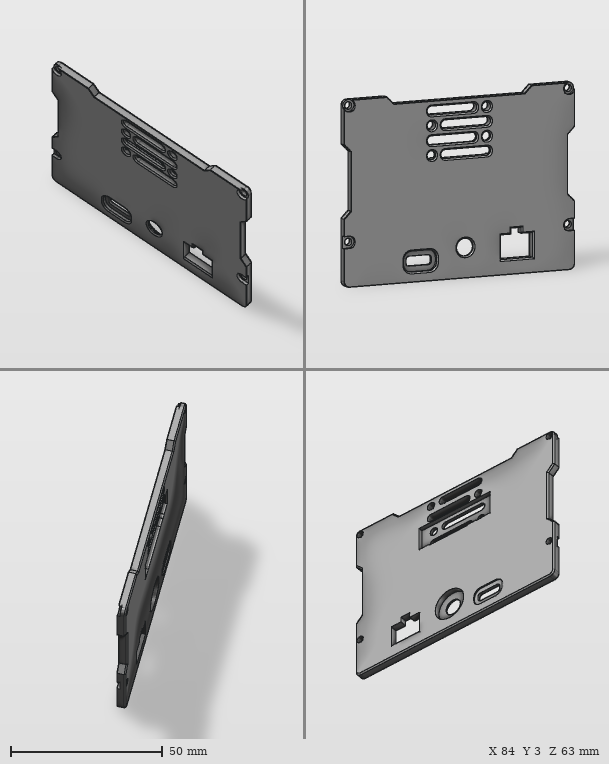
import cadquery as cq
LENGTH = 84.0
THICKNESS = 3.0
HEIGHT = 63.0
FRONT_Y = -THICKNESS / 2
BACK_Y = THICKNESS / 2
CORNER_RADIUS = 2.0
FRONT_EDGE_CHAMFER = 0.2
BACK_EDGE_CHAMFER = 0.5
OPENING_CHAMFER = 0.5

NOTCH_DEPTH = 2.5
TOP_NOTCH_FLOOR = 47.55
SIDE_NOTCH_FLOOR = 20.0
SIDE_NOTCH_Z = 4.0

SCREW_DIAMETER = 2.5
SCREW_SEAT_DIAMETER = 4.1
SCREW_SEAT_DEPTH = 1.1
SCREW_INSET = 2.0
LOWER_SCREW_Z = -16.4

VENT_WIDTH = 3.0
VENT_ROWS = 4
VENT_TOP_Z = 25.6
VENT_END_X = 10.0
VENT_PITCH = VENT_END_X / 2
VENT_INNER_X = VENT_PITCH

VENT_POCKET_SIZE = (30.1, 9.2)
VENT_POCKET_Z = 14.0
VENT_POCKET_DEPTH = THICKNESS / 2

OBLONG_X = -14.1
OBLONG_Z = -24.6
OBLONG_SIZE = (9.15, 3.4)
OBLONG_RADIUS = 1.1
RECESS_SIZE = (12.0, 7.05)
RECESS_RADIUS = 2.85
RECESS_DEPTH = THICKNESS / 2
OBLONG_WALL = 1.0

ROUND_DIAMETER = 6.0
ROUND_X = 2.2
ROUND_Z = -21.2
ROUND_WALL = 1.0
ROUND_POCKET_DIAMETER = 12.0

SOCKET_X = 20.8
SOCKET_WIDTH = 11.9
SOCKET_BOTTOM_Z = -26.4
SOCKET_TOP_Z = -18.1
TAB_WIDTH = 3.7
TAB_TOP_Z = -16.05


def front_plane():
    """Sketch plane on the front face; negative extrusions go into the plate."""
    return cq.Workplane("XZ", origin=(0, FRONT_Y, 0))


def back_plane():
    """Sketch plane on the back face; positive extrusions go into the plate."""
    return cq.Workplane("XZ", origin=(0, BACK_Y, 0))


def trapezoid_notch(floor):
    """Notch prism cut down from the line v = 0, wider at its mouth."""
    half_floor = floor / 2
    half_mouth = half_floor + NOTCH_DEPTH
    return (
        cq.Workplane("XZ")
        .polyline([
            (-half_mouth, 0),
            (-half_floor, -NOTCH_DEPTH),
            (half_floor, -NOTCH_DEPTH),
            (half_mouth, 0),
        ])
        .close()
        .extrude(THICKNESS, both=True)
    )


def make_plate():
    plate = cq.Workplane("XY").box(LENGTH, THICKNESS, HEIGHT)
    plate = plate.edges("|Y").fillet(CORNER_RADIUS)
    plate = plate.cut(trapezoid_notch(TOP_NOTCH_FLOOR).translate((0, 0, HEIGHT / 2)))
    for side in (-1, 1):
        notch = trapezoid_notch(SIDE_NOTCH_FLOOR).rotate((0, 0, 0), (0, 1, 0), side * 90)
        plate = plate.cut(notch.translate((side * LENGTH / 2, 0, SIDE_NOTCH_Z)))
    plate = plate.faces("<Y").chamfer(FRONT_EDGE_CHAMFER)
    return plate.faces(">Y").chamfer(BACK_EDGE_CHAMFER)


def slot_cutter(x_start, x_end, z, width):
    """Through slot with round ends centred at x_start and x_end, chamfered at the front."""
    center = ((x_start + x_end) / 2, z)
    length = x_end - x_start + width
    mouth = width + 2 * OPENING_CHAMFER
    through = front_plane().center(*center).slot2D(length, width).extrude(-THICKNESS)
    flare = (
        front_plane()
        .center(*center)
        .slot2D(length + 2 * OPENING_CHAMFER, mouth)
        .extrude(-OPENING_CHAMFER, taper=45)
    )
    return through.union(flare)


def hole_cutter(x, z, diameter):
    """Through hole chamfered at the front."""
    through = front_plane().center(x, z).circle(diameter / 2).extrude(-THICKNESS)
    cone = cq.Solid.makeCone(
        diameter / 2 + OPENING_CHAMFER,
        diameter / 2,
        OPENING_CHAMFER,
        pnt=cq.Vector(x, FRONT_Y, z),
        dir=cq.Vector(0, 1, 0),
    )
    return through.union(cq.Workplane(cone))


def cut_screw_holes(plate):
    upper_z = HEIGHT / 2 - SCREW_INSET
    for side in (-1, 1):
        x = side * (LENGTH / 2 - SCREW_INSET)
        for z in (upper_z, LOWER_SCREW_Z):
            hole = front_plane().center(x, z).circle(SCREW_DIAMETER / 2).extrude(-THICKNESS)
            seat = front_plane().center(x, z).circle(SCREW_SEAT_DIAMETER / 2).extrude(-SCREW_SEAT_DEPTH)
            plate = plate.cut(hole).cut(seat)
        runout = (
            front_plane()
            .center(x + side * SCREW_INSET / 2, LOWER_SCREW_Z)
            .rect(SCREW_INSET, SCREW_SEAT_DIAMETER)
            .extrude(-SCREW_SEAT_DEPTH)
        )
        plate = plate.cut(runout)
    return plate


def cut_vents(plate):
    for row in range(VENT_ROWS):
        z = VENT_TOP_Z - row * VENT_PITCH
        hole_side = 1 if row % 2 == 0 else -1
        slot_ends = sorted((-hole_side * VENT_END_X, hole_side * VENT_INNER_X))
        plate = plate.cut(slot_cutter(*slot_ends, z, VENT_WIDTH))
        plate = plate.cut(hole_cutter(hole_side * VENT_END_X, z, VENT_WIDTH))
    return plate


def cut_vent_pocket(plate):
    pocket = back_plane().center(0, VENT_POCKET_Z).rect(*VENT_POCKET_SIZE).extrude(VENT_POCKET_DEPTH)
    return plate.cut(pocket)


def rounded_outline(plane, size, radius):
    """Rounded rectangle around the oblong opening's centre."""
    sketch = cq.Sketch().rect(*size).vertices().fillet(radius)
    return plane.center(OBLONG_X, OBLONG_Z).placeSketch(sketch)


def cut_oblong_opening(plate):
    opening = rounded_outline(front_plane(), OBLONG_SIZE, OBLONG_RADIUS).extrude(-THICKNESS)
    recess = rounded_outline(front_plane(), RECESS_SIZE, RECESS_RADIUS).extrude(-RECESS_DEPTH)
    mouth_size = [side + 2 * OPENING_CHAMFER for side in RECESS_SIZE]
    mouth_radius = RECESS_RADIUS + OPENING_CHAMFER
    flare = rounded_outline(front_plane(), mouth_size, mouth_radius).extrude(-OPENING_CHAMFER, taper=45)
    pocket_depth = THICKNESS - RECESS_DEPTH - OBLONG_WALL
    pocket = rounded_outline(back_plane(), RECESS_SIZE, RECESS_RADIUS).extrude(pocket_depth)
    return plate.cut(opening).cut(recess).cut(flare).cut(pocket)


def cut_round_opening(plate):
    pocket = (
        back_plane()
        .center(ROUND_X, ROUND_Z)
        .circle(ROUND_POCKET_DIAMETER / 2)
        .extrude(THICKNESS - ROUND_WALL)
    )
    return plate.cut(hole_cutter(ROUND_X, ROUND_Z, ROUND_DIAMETER)).cut(pocket)


def socket_outline(margin, left_margin):
    """Socket outline grown by margin, with its own margin on the left side."""
    half_tab = TAB_WIDTH / 2 + margin
    left = SOCKET_X - SOCKET_WIDTH / 2 - left_margin
    right = SOCKET_X + SOCKET_WIDTH / 2 + margin
    bottom = SOCKET_BOTTOM_Z - margin
    shoulder = SOCKET_TOP_Z + margin
    top = TAB_TOP_Z + margin
    return front_plane().polyline([
        (left, bottom),
        (right, bottom),
        (right, shoulder),
        (SOCKET_X + half_tab, shoulder),
        (SOCKET_X + half_tab, top),
        (SOCKET_X - half_tab, top),
        (SOCKET_X - half_tab, shoulder),
        (left, shoulder),
    ]).close()


def cut_socket(plate):
    through = socket_outline(0, 0).extrude(-THICKNESS)
    flare = socket_outline(OPENING_CHAMFER, OPENING_CHAMFER).extrude(-OPENING_CHAMFER, taper=45)
    flare = flare.intersect(socket_outline(OPENING_CHAMFER, 0).extrude(-OPENING_CHAMFER))
    return plate.cut(through).cut(flare)


plate = make_plate()
plate = cut_screw_holes(plate)
plate = cut_vents(plate)
plate = cut_vent_pocket(plate)
plate = cut_oblong_opening(plate)
plate = cut_round_opening(plate)
result = cut_socket(plate)